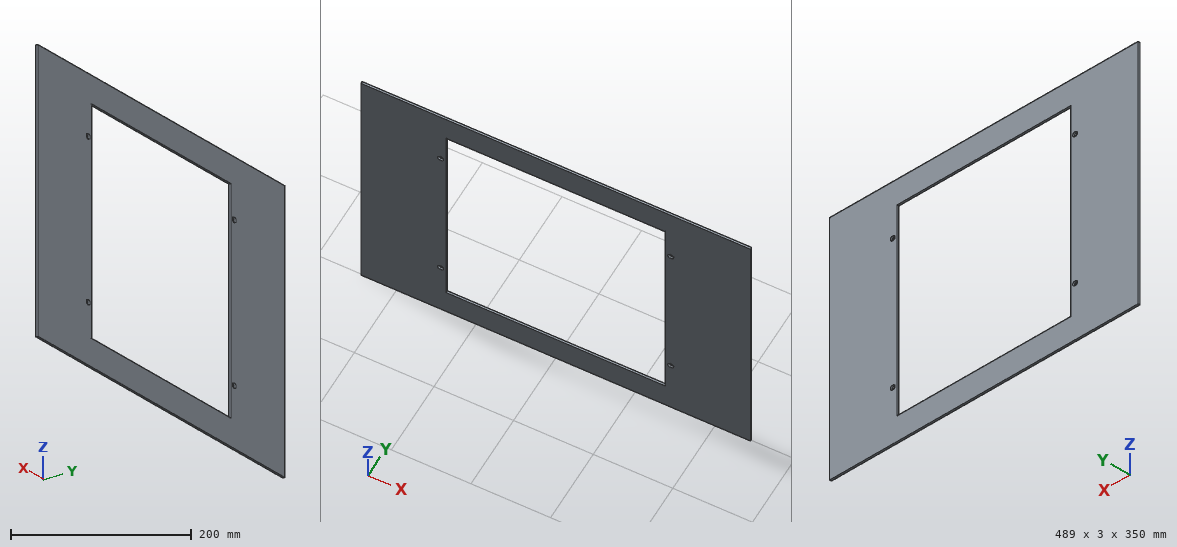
import cadquery as cq

plate_width = 489.0
plate_height = 350.0
plate_thickness = 3.0

window_width = 275.5
window_height = 281.0

slot_length = 7.5
slot_width = 6.0
slot_spacing_x = 289.0
slot_spacing_z = 199.0

plate = cq.Workplane("XZ").rect(plate_width, plate_height).extrude(plate_thickness / 2, both=True)

window = cq.Workplane("XZ").rect(window_width, window_height).extrude(plate_thickness, both=True)

slots = (
    cq.Workplane("XZ")
    .rect(slot_spacing_x, slot_spacing_z, forConstruction=True)
    .vertices()
    .slot2D(slot_length, slot_width)
    .extrude(plate_thickness, both=True)
)

result = plate.cut(window).cut(slots)